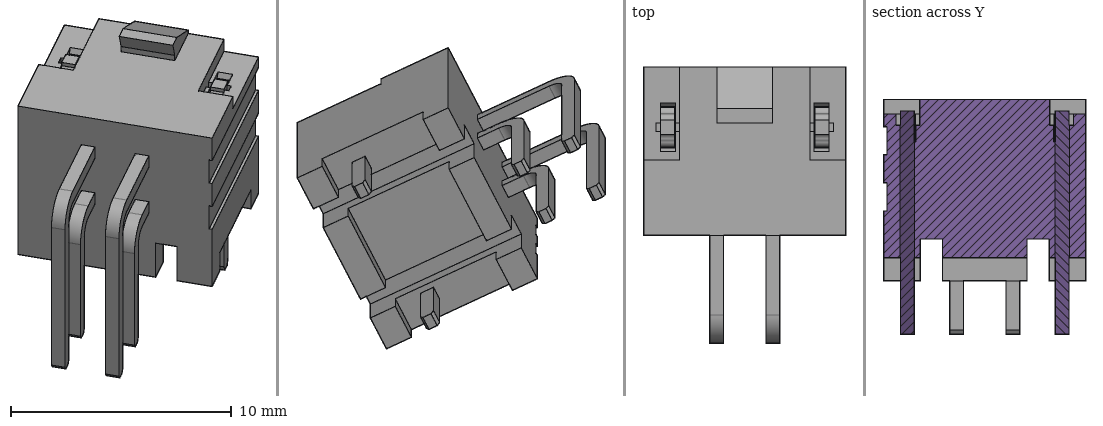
import cadquery as cq
import math


WIDTH = 9.15
DEPTH = 7.62
HEIGHT = 8.22

SIDE_SLOT_WIDTH = 5.09
SIDE_SLOT_HEIGHT = 1.04
FRONT_SLOT_WIDTH = 1.0
FRONT_SLOT_HEIGHT = 1.89
FRONT_SLOT_X = 2.41

RECESS_WIDTH = 1.63
RECESS_DEPTH = 4.22
RECESS_DROP = 0.66
RECESS_FLOOR = HEIGHT - RECESS_DROP

LATCH_WIDTH = 2.53
LATCH_BACK_HEIGHT = 0.19
LATCH_HEIGHT = 1.05
LATCH_RAMP_LENGTH = 1.89
LATCH_LENGTH = 2.53
LATCH_NECK_LENGTH = 2.23
LATCH_NECK_HEIGHT = 0.29

WIRE = 0.64
TIP_Z = -2.41

ROWS = (0, 1)
PITCH = 2.54
LOWER_ROW_Z = 3.8
OVERALL_DEPTH = 12.51
UPPER_ROW_REACH = OVERALL_DEPTH - DEPTH
BEND_INNER_RADIUS = WIRE
BEND_OUTER_RADIUS = BEND_INNER_RADIUS + WIRE
CONTACT_TIP_HEIGHT = 0.19
CONTACT_TIP_INSET = 0.14

GROOVE_DEPTH = 0.14
GROOVE_HEIGHT = 1.26

PEG_X = 3.5
PEG_Y = DEPTH - 2.73
PEG_LENGTH = 0.66
PEG_HALF_LENGTH = PEG_LENGTH / 2
PEG_TOP = RECESS_FLOOR + 0.14
PEG_TIP_HEIGHT = 0.28
PEG_TIP_INSET = 0.13
BARB_HALF_LENGTH = 0.9
BARB_ROUND_RADIUS = 0.28
BARB_SHOULDER_LENGTH = 0.04
BARB_SHOULDER_Z = RECESS_FLOOR - 0.2
BARB_SWEEP_RADIUS = 0.29
BARB_BOTTOM = RECESS_FLOOR - 1.25

POCKET_WIDTH = 0.69
POCKET_HALF_LENGTH = 0.94
POCKET_LEAD_IN = 0.15
POCKET_LEAD_IN_DEPTH = 0.25
POCKET_X = PEG_X - (POCKET_WIDTH - WIRE) / 2

RELIEF_WIDTH = 2 * (POCKET_X - (WIDTH / 2 - RECESS_WIDTH))
RELIEF_LENGTH = 0.39
RELIEF_DEPTH = 0.5

SIDES = (-1, 1)
DIAGONAL = math.sqrt(0.5)


def box(x_size, y_size, z_size, x_middle, y_min, z_min):
    """Box centred on x_middle, starting at y_min and z_min."""
    block = cq.Workplane("XY").box(x_size, y_size, z_size, centered=(True, False, False))
    return block.translate((x_middle, y_min, z_min))


def extrude_across(profile, thickness, x_middle):
    """Extrude a closed YZ profile evenly to both sides of x_middle."""
    return profile.extrude(thickness / 2, both=True).translate((x_middle, 0, 0))


def housing_block():
    block = box(WIDTH, DEPTH, HEIGHT, 0, 0, 0)
    side_slot_y = (DEPTH - SIDE_SLOT_WIDTH) / 2
    block = block.cut(box(WIDTH, SIDE_SLOT_WIDTH, SIDE_SLOT_HEIGHT, 0, side_slot_y, 0))
    recess_x = (WIDTH - RECESS_WIDTH) / 2
    for side in SIDES:
        block = block.cut(box(FRONT_SLOT_WIDTH, DEPTH, FRONT_SLOT_HEIGHT, side * FRONT_SLOT_X, 0, 0))
        block = block.cut(
            box(RECESS_WIDTH, RECESS_DEPTH, RECESS_DROP, side * recess_x, DEPTH - RECESS_DEPTH, RECESS_FLOOR)
        )
    groove_x = (WIDTH - GROOVE_DEPTH) / 2
    for row in ROWS:
        groove_z = LOWER_ROW_Z + row * PITCH - GROOVE_HEIGHT / 2
        block = block.cut(box(GROOVE_DEPTH, DEPTH, GROOVE_HEIGHT, groove_x, 0, groove_z))
    return block


def latch():
    profile = (
        cq.Workplane("YZ")
        .moveTo(DEPTH, HEIGHT)
        .lineTo(DEPTH, HEIGHT + LATCH_BACK_HEIGHT)
        .lineTo(DEPTH - LATCH_RAMP_LENGTH, HEIGHT + LATCH_HEIGHT)
        .lineTo(DEPTH - LATCH_LENGTH, HEIGHT + LATCH_HEIGHT)
        .lineTo(DEPTH - LATCH_NECK_LENGTH, HEIGHT + LATCH_NECK_HEIGHT)
        .lineTo(DEPTH - LATCH_NECK_LENGTH, HEIGHT)
        .close()
    )
    return extrude_across(profile, LATCH_WIDTH, 0)


def contact(x_middle, row):
    """Contact leaving the front face and bending down to the board."""
    top = LOWER_ROW_Z + row * PITCH + WIRE / 2
    outer = -UPPER_ROW_REACH + (1 - row) * PITCH
    inner = outer + WIRE
    bend_y = outer + BEND_OUTER_RADIUS
    bend_z = top - BEND_OUTER_RADIUS
    outer_middle = (bend_y - BEND_OUTER_RADIUS * DIAGONAL, bend_z + BEND_OUTER_RADIUS * DIAGONAL)
    inner_middle = (bend_y - BEND_INNER_RADIUS * DIAGONAL, bend_z + BEND_INNER_RADIUS * DIAGONAL)
    profile = (
        cq.Workplane("YZ")
        .moveTo(0, top)
        .lineTo(bend_y, top)
        .threePointArc(outer_middle, (outer, bend_z))
        .lineTo(outer, TIP_Z + CONTACT_TIP_HEIGHT)
        .lineTo(outer + CONTACT_TIP_INSET, TIP_Z)
        .lineTo(inner - CONTACT_TIP_INSET, TIP_Z)
        .lineTo(inner, TIP_Z + CONTACT_TIP_HEIGHT)
        .lineTo(inner, bend_z)
        .threePointArc(inner_middle, (bend_y, top - WIRE))
        .lineTo(0, top - WIRE)
        .close()
    )
    return extrude_across(profile, WIRE, x_middle)


def peg_pocket(side):
    """Barb pocket with lead-in ends, its middle relief, and the peg hole below."""
    mouth = POCKET_HALF_LENGTH + POCKET_LEAD_IN
    lead_in_z = RECESS_FLOOR - POCKET_LEAD_IN_DEPTH
    profile = (
        cq.Workplane("YZ")
        .moveTo(PEG_Y - mouth, RECESS_FLOOR)
        .lineTo(PEG_Y - POCKET_HALF_LENGTH, lead_in_z)
        .lineTo(PEG_Y - POCKET_HALF_LENGTH, BARB_BOTTOM)
        .lineTo(PEG_Y + POCKET_HALF_LENGTH, BARB_BOTTOM)
        .lineTo(PEG_Y + POCKET_HALF_LENGTH, lead_in_z)
        .lineTo(PEG_Y + mouth, RECESS_FLOOR)
        .close()
    )
    pocket = extrude_across(profile, POCKET_WIDTH, side * POCKET_X)
    relief_y = PEG_Y - RELIEF_LENGTH / 2
    relief_z = RECESS_FLOOR - RELIEF_DEPTH
    relief = box(RELIEF_WIDTH, RELIEF_LENGTH, RELIEF_DEPTH, side * POCKET_X, relief_y, relief_z)
    peg_hole = box(WIRE, PEG_LENGTH, BARB_BOTTOM, side * PEG_X, PEG_Y - PEG_HALF_LENGTH, 0)
    return pocket.union(relief).union(peg_hole)


def board_peg(side):
    """Straight peg whose barbs sweep out to a short flat shoulder and round over."""
    round_y = BARB_HALF_LENGTH - BARB_ROUND_RADIUS
    round_z = BARB_SHOULDER_Z - BARB_ROUND_RADIUS
    round_middle = (round_y + BARB_ROUND_RADIUS * DIAGONAL, round_z + BARB_ROUND_RADIUS * DIAGONAL)

    sweep_y = round_y - BARB_SHOULDER_LENGTH
    sweep_centre_z = BARB_SHOULDER_Z + BARB_SWEEP_RADIUS
    sweep_angle = math.asin((sweep_y - PEG_HALF_LENGTH) / BARB_SWEEP_RADIUS)

    def sweep_point(angle):
        """Point on the sweep, with the angle measured back from the shoulder."""
        y = sweep_y - BARB_SWEEP_RADIUS * math.sin(angle)
        return y, sweep_centre_z - BARB_SWEEP_RADIUS * math.cos(angle)

    profile = (
        cq.Workplane("YZ")
        .moveTo(0, PEG_TOP)
        .lineTo(PEG_HALF_LENGTH, PEG_TOP)
        .lineTo(*sweep_point(sweep_angle))
        .threePointArc(sweep_point(sweep_angle / 2), (sweep_y, BARB_SHOULDER_Z))
        .lineTo(round_y, BARB_SHOULDER_Z)
        .threePointArc(round_middle, (BARB_HALF_LENGTH, round_z))
        .lineTo(BARB_HALF_LENGTH, BARB_BOTTOM)
        .lineTo(PEG_HALF_LENGTH, BARB_BOTTOM)
        .lineTo(PEG_HALF_LENGTH, TIP_Z + PEG_TIP_HEIGHT)
        .lineTo(PEG_HALF_LENGTH - PEG_TIP_INSET, TIP_Z)
        .lineTo(0, TIP_Z)
        .mirrorY()
    )
    return extrude_across(profile, WIRE, side * PEG_X).translate((0, PEG_Y, 0))


def connector():
    """Housing with its latch and contacts as one solid, pocketed for the pegs."""
    body = housing_block().union(latch())
    for side in SIDES:
        for row in ROWS:
            body = body.union(contact(side * PITCH / 2, row))
        body = body.cut(peg_pocket(side))
    return body


housing = connector()
board_pegs = [board_peg(side).val() for side in SIDES]

result = cq.Compound.makeCompound([housing.val(), *board_pegs])